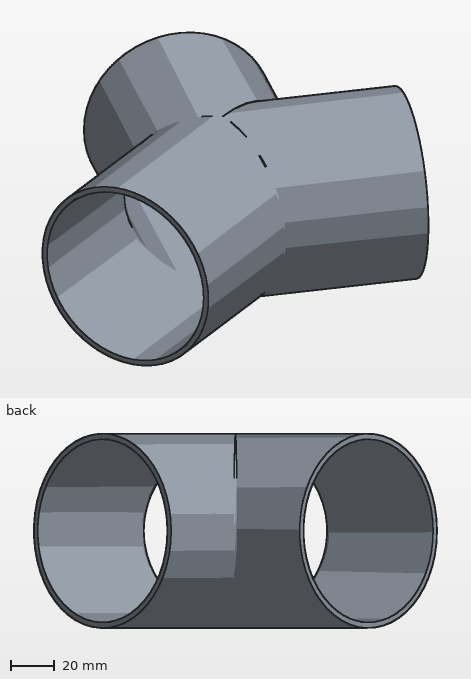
import cadquery as cq
import math

outer_diameter = 89.0
inner_diameter = 83.8
overall_width = 184.5
branch_angle = 45.0
outer_seam_radius = 1.0

outer_radius = outer_diameter / 2
wall = (outer_diameter - inner_diameter) / 2
inner_seam_radius = outer_seam_radius + wall

tilt = math.radians(branch_angle)
leg_length = (overall_width / 2 - outer_radius * math.cos(tilt)) / math.sin(tilt)

leg_turns = [0, 180 - branch_angle, 180 + branch_angle]


def joined_legs(diameter, seam_radius):
    """Three equal round legs that meet at the origin, with their mitre seams rounded."""
    leg = cq.Workplane("XZ").circle(diameter / 2).extrude(leg_length)
    legs = cq.Workplane("XY")
    for turn in leg_turns:
        legs = legs.union(leg.rotate((0, 0, 0), (0, 0, 1), turn))
    mitre_seams = legs.edges("%ELLIPSE")
    return mitre_seams.fillet(seam_radius)


outer_body = joined_legs(outer_diameter, outer_seam_radius)
bore = joined_legs(inner_diameter, inner_seam_radius)

result = outer_body.cut(bore)